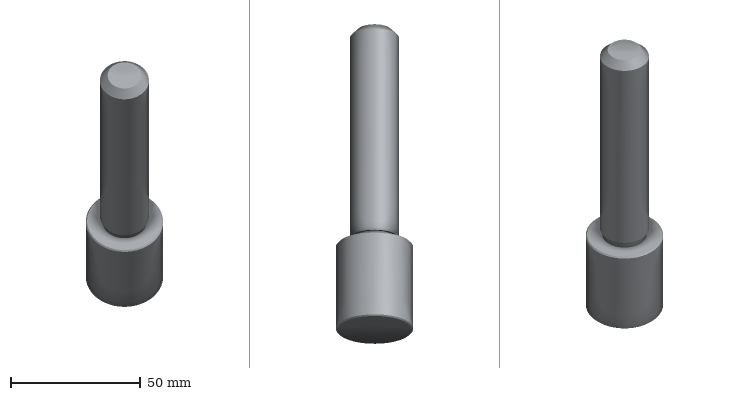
import cadquery as cq

total_length = 125.0
head_diameter = 30.0
head_length = 35.0
head_chamfer = 0.5
neck_diameter = 17.2
neck_length = 3.0
shank_diameter = 19.0
tip_chamfer = 3.0

shank_start = head_length + neck_length
shank_length = total_length - shank_start


def cylinder(diameter, length, base_height):
    """Vertical cylinder centred on the Z axis, standing at base_height."""
    return cq.Workplane("XY").workplane(offset=base_height).circle(diameter / 2).extrude(length)


head = cylinder(head_diameter, head_length, 0).edges().chamfer(head_chamfer)

neck = cylinder(neck_diameter, neck_length, head_length)

shank = cylinder(shank_diameter, shank_length, shank_start).faces(">Z").chamfer(tip_chamfer)

result = head.union(neck).union(shank)